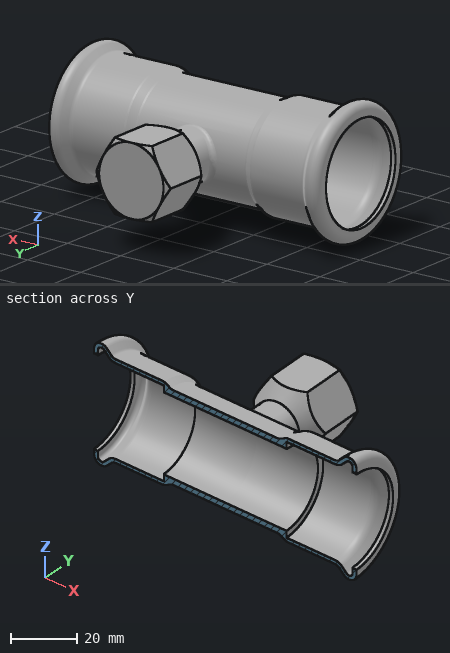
import cadquery as cq
import math

length = 102.0
half_length = length / 2
tube_radius = 34.8 / 2
stop_bore_radius = 29.8 / 2
socket_radius = 38.0 / 2
socket_bore_radius = 34.8 / 2
wall = socket_radius - socket_bore_radius

bead_radius = 3.0
bead_centre_radius = 19.4
bead_flank_angle = math.radians(45)
bead_root_radius = 2.1

step_start = 27.1
step_end = 30.2
step_blend_radius = 1.3
stop_depth = step_start

branch_end = 47.0
neck_radius = 16.8 / 2
neck_fillet_radius = 1.6
hex_corner_diameter = 27.9
hex_corner_radius = hex_corner_diameter / 2
hex_flat_radius = hex_corner_radius * math.cos(math.radians(30))
head_length = 22.0
head_base = branch_end - head_length
top_chamfer_angle = math.radians(30)

bead_centre = (bead_radius, bead_centre_radius)
root_centre_radius = socket_radius + bead_root_radius
flank_gap = (bead_radius + bead_root_radius) / math.sin(bead_flank_angle)
root_centre_offset = flank_gap - (root_centre_radius - bead_centre_radius) / math.tan(bead_flank_angle)
root_centre = (bead_radius + root_centre_offset, root_centre_radius)


def on_arc(centre, radius, angle):
    """Point on an arc in (depth, radius) coordinates."""
    return (centre[0] + radius * math.cos(angle), centre[1] + radius * math.sin(angle))


def trace_bead(outline, bead_arc, root_arc):
    """Trace a bead from its front to the parallel stretch behind its root."""
    flank_normal = math.pi / 2 - bead_flank_angle
    bead_middle = (math.pi + flank_normal) / 2
    root_start = flank_normal + math.pi
    root_end = 1.5 * math.pi
    root_middle = (root_start + root_end) / 2
    return (
        outline
        .threePointArc(on_arc(bead_centre, bead_arc, bead_middle), on_arc(bead_centre, bead_arc, flank_normal))
        .lineTo(*on_arc(root_centre, root_arc, root_start))
        .threePointArc(on_arc(root_centre, root_arc, root_middle), on_arc(root_centre, root_arc, root_end))
    )


def revolve_half(outline):
    """Revolve a (depth, radius) outline about X, placing depth 0 at the -X mouth."""
    solid = outline.close().revolve(360, (0, 0, 0), (1, 0, 0))
    return solid.translate((-half_length, 0, 0))


def both_ends(half):
    return half.union(half.rotate((0, 0, 0), (0, 0, 1), 180))


def socket_envelope():
    outline = cq.Workplane("XY").lineTo(0, bead_centre_radius)
    outline = trace_bead(outline, bead_radius, bead_root_radius)
    outline = (
        outline
        .lineTo(step_start, socket_radius)
        .lineTo(step_end, tube_radius)
        .lineTo(half_length, tube_radius)
        .lineTo(half_length, 0)
    )
    return revolve_half(outline)


def blend_steps(body):
    """Round both circular edges of each conical step."""
    for side in (-1, 1):
        for depth in (step_start, step_end):
            x = side * (half_length - depth)
            reach = 0.1
            slab = cq.selectors.BoxSelector(
                (x - reach, -length, -length), (x + reach, length, length), boundingbox=True
            )
            body = body.edges(slab).fillet(step_blend_radius)
    return body


def socket_cavity():
    """Mouth lip, seal groove inside the bead, socket bore and narrower tube bore."""
    groove_radius = bead_radius - wall
    outline = (
        cq.Workplane("XY")
        .lineTo(0, socket_bore_radius)
        .lineTo(wall, socket_bore_radius)
        .lineTo(wall, bead_centre_radius)
    )
    outline = trace_bead(outline, groove_radius, bead_root_radius + wall)
    outline = (
        outline
        .lineTo(stop_depth, socket_bore_radius)
        .lineTo(stop_depth, stop_bore_radius)
        .lineTo(half_length, stop_bore_radius)
        .lineTo(half_length, 0)
    )
    return revolve_half(outline)


def branch_neck():
    return cq.Workplane("XZ").circle(neck_radius).extrude(-head_base)


def hex_head():
    """Hexagon with corners on X, trimmed by a cone at each end."""
    prism = (
        cq.Workplane("XZ", origin=(0, head_base, 0))
        .polygon(6, hex_corner_diameter)
        .extrude(-head_length)
    )
    base_cone_height = hex_corner_radius - neck_radius
    top_cone_height = (hex_corner_radius - hex_flat_radius) * math.tan(top_chamfer_angle)
    envelope = (
        cq.Workplane("XY")
        .moveTo(0, head_base)
        .lineTo(neck_radius, head_base)
        .lineTo(hex_corner_radius, head_base + base_cone_height)
        .lineTo(hex_corner_radius, branch_end - top_cone_height)
        .lineTo(hex_flat_radius, branch_end)
        .lineTo(0, branch_end)
        .close()
        .revolve(360, (0, 0, 0), (0, 1, 0))
    )
    return prism.intersect(envelope)


def fillet_neck(body):
    """Round the saddle-shaped edge where the neck meets the tube."""
    margin = 0.5
    reach = neck_radius + margin
    saddle = cq.selectors.BoxSelector(
        (-reach, neck_radius, -reach), (reach, tube_radius + margin, reach), boundingbox=True
    )
    return body.edges(saddle).fillet(neck_fillet_radius)


run_pipe = blend_steps(both_ends(socket_envelope()))
fitting = fillet_neck(run_pipe.union(branch_neck()))
result = fitting.union(hex_head()).cut(both_ends(socket_cavity()))